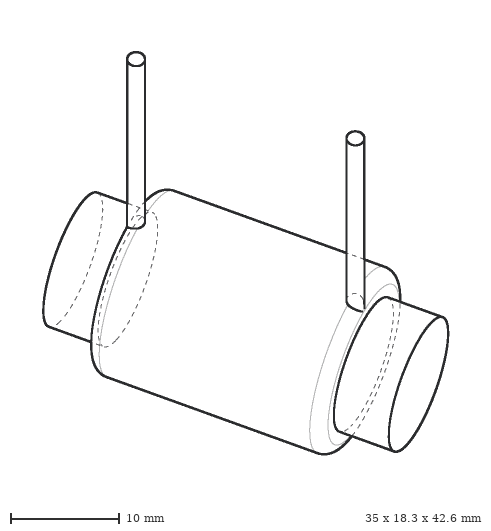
import cadquery as cq

total_height = 42.55
core_length = 35.05
core_diameter = 13.2
winding_length = 23.9
winding_diameter = 18.3
winding_edge_radius = 1.28
lead_diameter = 1.65

lead_top = total_height - winding_diameter / 2
lead_offset = (winding_length - lead_diameter) / 2


def rod_along_x(diameter, length):
    """Solid cylinder on the X axis, centred on the origin, with its seam facing +Z."""
    return cq.Workplane("ZY", origin=(length / 2, 0, 0)).circle(diameter / 2).extrude(length)


core = rod_along_x(core_diameter, core_length)
winding = rod_along_x(winding_diameter, winding_length).edges("%CIRCLE").fillet(winding_edge_radius)

leads = (
    cq.Workplane("XY")
    .pushPoints([(-lead_offset, 0), (lead_offset, 0)])
    .circle(lead_diameter / 2)
    .extrude(lead_top)
)

result = winding.union(core).union(leads)